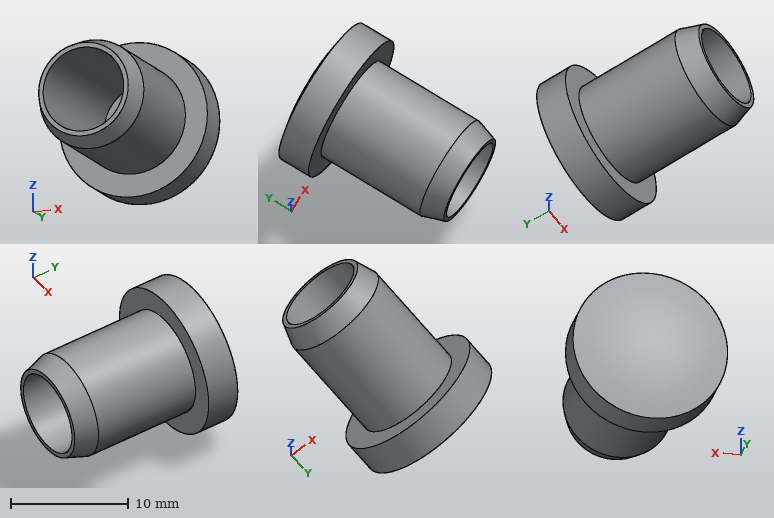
import cadquery as cq
import math

head_diameter = 13.5
head_thickness = 3.0
crown_height = 1.0

shank_diameter = 9.5
shank_straight_length = 10.0
tip_length = 2.0
tip_diameter = 8.17

bore_diameter = 7.33
crown_wall = 1.0

head_radius = head_diameter / 2
shank_radius = shank_diameter / 2
tip_radius = tip_diameter / 2
bore_radius = bore_diameter / 2

rim_y = head_thickness
crown_y = rim_y + crown_height
taper_y = -shank_straight_length
tip_y = taper_y - tip_length

crown_radius = (head_radius**2 + crown_height**2) / (2 * crown_height)
sphere_center_y = crown_y - crown_radius
floor_radius = crown_radius - crown_wall
floor_y = crown_y - crown_wall


def sphere_point(radius, distance_from_axis):
    """Profile point on a sphere of the given radius, as (distance from axis, y)."""
    return (distance_from_axis, sphere_center_y + math.sqrt(radius**2 - distance_from_axis**2))


def make_plug():
    """Revolve the half section of the plug about the Y axis."""
    half_section = (
        cq.Workplane("XY")
        .moveTo(0, crown_y)
        .threePointArc(sphere_point(crown_radius, head_radius / 2), (head_radius, rim_y))
        .lineTo(head_radius, 0)
        .lineTo(shank_radius, 0)
        .lineTo(shank_radius, taper_y)
        .lineTo(tip_radius, tip_y)
        .lineTo(bore_radius, tip_y)
        .lineTo(*sphere_point(floor_radius, bore_radius))
        .threePointArc(sphere_point(floor_radius, bore_radius / 2), (0, floor_y))
        .close()
    )
    return half_section.revolve(360, (0, 0, 0), (0, 1, 0))


result = make_plug()